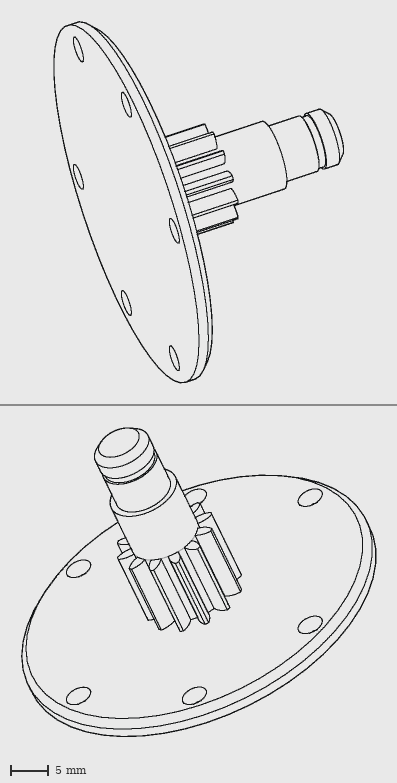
import cadquery as cq
import math

flange_radius = 25.25
flange_thickness = 2.35
flange_chamfer = 1.0

hole_diameter = 3.5
hole_circle_radius = 21.75
hole_angles = (40, 90, 140, 220, 270, 320)

shaft_radius = 4.8
shaft_end = 21.35
journal_radius = 3.95
journal_end = 30.4
journal_chamfer = 1.0
groove_radius = 3.65
groove_start = 26.4
groove_width = 1.05

tooth_count = 12
gear_end = 13.45
tip_radius = 6.95
flank_radius = 6.0
root_half_angle = 8.8
flank_half_angle = 6.7
tip_half_angle = 2.1


def cylinder(radius, start, end):
    """Cylinder about the Y axis between two Y positions."""
    return cq.Workplane("XZ", origin=(0, start, 0)).circle(radius).extrude(start - end)


def polar(radius, angle):
    """Point at a radius and an angle in degrees."""
    return (radius * math.cos(math.radians(angle)), radius * math.sin(math.radians(angle)))


def make_flange():
    flange = cylinder(flange_radius, 0, flange_thickness)
    flange = flange.faces(">Y").edges().chamfer(flange_chamfer)
    centers = [polar(hole_circle_radius, angle) for angle in hole_angles]
    holes = cq.Workplane("XZ").pushPoints(centers).circle(hole_diameter / 2).extrude(-flange_thickness)
    return flange.cut(holes)


def make_shaft():
    shaft = cylinder(shaft_radius, 0, shaft_end)
    journal = cylinder(journal_radius, 0, journal_end).faces(">Y").edges().chamfer(journal_chamfer)
    groove_end = groove_start + groove_width
    groove = cylinder(journal_radius, groove_start, groove_end)
    groove = groove.cut(cylinder(groove_radius, groove_start, groove_end))
    return shaft.union(journal.cut(groove))


def make_pinion():
    """Closed outline of convex-flanked teeth, with a gap centered on each axis."""
    pitch_angle = 360 / tooth_count
    first_gap_end = pitch_angle / 2 - root_half_angle
    outline = cq.Workplane("XZ").moveTo(*polar(shaft_radius, first_gap_end))
    for index in range(tooth_count):
        center = (index + 0.5) * pitch_angle
        outline = (
            outline
            .threePointArc(polar(flank_radius, center - flank_half_angle),
                           polar(tip_radius, center - tip_half_angle))
            .threePointArc(polar(tip_radius, center), polar(tip_radius, center + tip_half_angle))
            .threePointArc(polar(flank_radius, center + flank_half_angle),
                           polar(shaft_radius, center + root_half_angle))
            .threePointArc(polar(shaft_radius, center + pitch_angle / 2),
                           polar(shaft_radius, center + pitch_angle - root_half_angle))
        )
    return outline.close().extrude(-gear_end)


result = make_flange().union(make_pinion()).union(make_shaft())